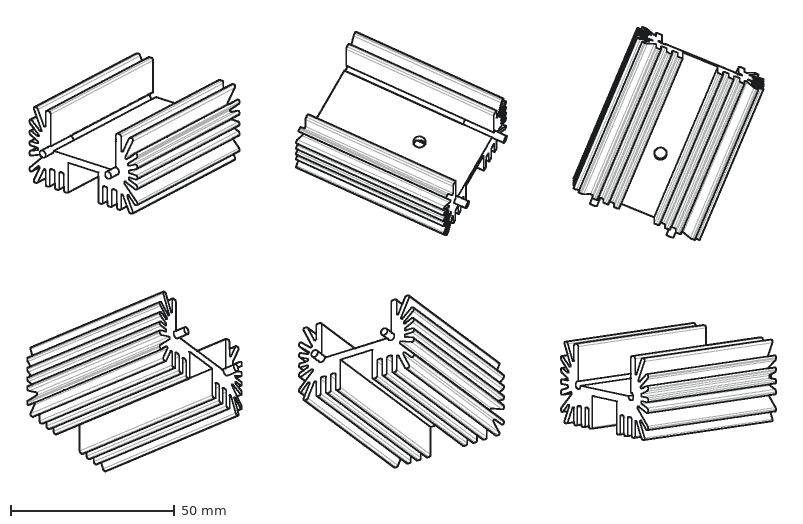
import cadquery as cq
import math

sink_width = 41.9
sink_height = 25.4
sink_length = 50.8
half_width = sink_width / 2
half_height = sink_height / 2

web_thickness = 2.4
wall_inner_x = 12.7
wall_thickness = 1.95
channel_half_width = 5.8

hole_diameter = 3.8
hole_from_front = 19.05

pin_diameter = 2.35
pin_exposed_length = 3.95
pin_seated_length = 9.85

square_corner_radius = 0.6
middle_corner_radius = 0.5
sharp_corner_radius = 0.55
blunt_corner_radius = 0.75
narrow_root_radius = 0.4
wide_root_radius = 0.45

wall_outer_x = wall_inner_x + wall_thickness
leg_thickness = 1.75
corner_leg_thickness = 1.65
corner_leg_inner_x = wall_outer_x - corner_leg_thickness
middle_leg_inner_x = 9.35
middle_leg_outer_x = middle_leg_inner_x + leg_thickness
inner_leg_outer_x = channel_half_width + leg_thickness
leg_root_z = -6.4

middle_fin_half_thickness = 0.7
middle_root_x = 18.0
middle_root_z = middle_fin_half_thickness + wide_root_radius
steep_fin_sharp_x = 18.8
steep_fin_blunt_x = 18.4
wall_root_x = wall_outer_x + narrow_root_radius
wall_root_z = 7.55

upper_fin_sharp_z = 7.5
upper_fin_blunt_z = 7.2
rising_fin_sharp_z = 3.8
rising_fin_blunt_z = 3.5
falling_fin_blunt_z = -3.2
falling_fin_sharp_z = -3.55
lower_fin_blunt_z = -8.6
lower_fin_sharp_z = -8.85

steep_to_upper_root = (16.65, 5.55)
upper_to_rising_root = (17.7, 3.55)
falling_to_lower_root = (16.25, -3.0)
lower_to_steep_root = (17.4, -7.2)


def corner(x, z):
    return [(-x, z, 0)]


def root(x, z, radius):
    return [(-x, z, -radius)]


def side_tip(z, radius):
    return [(radius - half_width, z, radius)]


def top_tip(x, radius):
    return [(-x, half_height - radius, radius)]


def bottom_tip(x, radius):
    return [(-x, radius - half_height, radius)]


def leg_tip(outer_x, inner_x):
    radius = square_corner_radius
    return bottom_tip(outer_x - radius, radius) + bottom_tip(inner_x + radius, radius)


def leg_root(outer_x, inner_x):
    radius = square_corner_radius
    centre_z = leg_root_z - radius
    return root(outer_x - radius, centre_z, radius) + root(inner_x + radius, centre_z, radius)


def wall_tip():
    radius = square_corner_radius
    return top_tip(wall_inner_x + radius, radius) + top_tip(wall_outer_x - radius, radius)


def middle_fin_tip():
    radius = middle_corner_radius
    centre_z = middle_fin_half_thickness - radius
    return side_tip(centre_z, radius) + side_tip(-centre_z, radius)


def sharp_over_blunt_tip(sharp_z, blunt_z):
    return side_tip(sharp_z, sharp_corner_radius) + side_tip(blunt_z, blunt_corner_radius)


def blunt_over_sharp_tip(blunt_z, sharp_z):
    return side_tip(blunt_z, blunt_corner_radius) + side_tip(sharp_z, sharp_corner_radius)


half_outline_rounds = [
    *corner(wall_inner_x, 0),
    *wall_tip(),
    *root(wall_root_x, wall_root_z, narrow_root_radius),
    *top_tip(steep_fin_blunt_x, blunt_corner_radius),
    *top_tip(steep_fin_sharp_x, sharp_corner_radius),
    *root(*steep_to_upper_root, narrow_root_radius),
    *sharp_over_blunt_tip(upper_fin_sharp_z, upper_fin_blunt_z),
    *root(*upper_to_rising_root, narrow_root_radius),
    *sharp_over_blunt_tip(rising_fin_sharp_z, rising_fin_blunt_z),
    *root(middle_root_x, middle_root_z, wide_root_radius),
    *middle_fin_tip(),
    *root(middle_root_x, -middle_root_z, wide_root_radius),
    *blunt_over_sharp_tip(falling_fin_blunt_z, falling_fin_sharp_z),
    *root(*falling_to_lower_root, wide_root_radius),
    *blunt_over_sharp_tip(lower_fin_blunt_z, lower_fin_sharp_z),
    *root(*lower_to_steep_root, narrow_root_radius),
    *bottom_tip(steep_fin_sharp_x, sharp_corner_radius),
    *bottom_tip(steep_fin_blunt_x, blunt_corner_radius),
    *root(wall_root_x, -wall_root_z, narrow_root_radius),
    *leg_tip(wall_outer_x, corner_leg_inner_x),
    *leg_root(corner_leg_inner_x, middle_leg_outer_x),
    *leg_tip(middle_leg_outer_x, middle_leg_inner_x),
    *leg_root(middle_leg_inner_x, inner_leg_outer_x),
    *leg_tip(inner_leg_outer_x, channel_half_width),
    *corner(channel_half_width, -web_thickness),
]


def tangent_heading(start, end):
    """Heading of the straight line that leaves one round and meets the next tangentially."""
    dx = end[0] - start[0]
    dz = end[1] - start[1]
    return math.atan2(dz, dx) - math.asin((end[2] - start[2]) / math.hypot(dx, dz))


def point_on_round(outline_round, heading):
    """Point of a round where the outline runs along the given heading."""
    x, z, radius = outline_round
    return (x + radius * math.sin(heading), z - radius * math.cos(heading))


def make_half_profile():
    """The -X half of the cross-section, extruded along Y and centred on Y = 0."""
    rounds = half_outline_rounds
    headings = [tangent_heading(start, end) for start, end in zip(rounds, rounds[1:])]
    outline = cq.Workplane("XZ").moveTo(0, 0).lineTo(-wall_inner_x, 0)
    for this_round, heading_in, heading_out in zip(rounds[1:-1], headings, headings[1:]):
        turn = (heading_out - heading_in) % math.tau
        if this_round[2] < 0:
            turn -= math.tau
        outline = outline.lineTo(*point_on_round(this_round, heading_in))
        outline = outline.threePointArc(
            point_on_round(this_round, heading_in + turn / 2),
            point_on_round(this_round, heading_out),
        )
    outline = outline.lineTo(-channel_half_width, -web_thickness).lineTo(0, -web_thickness).close()
    return outline.extrude(sink_length / 2, both=True)


def make_rod(x, front_y, length):
    """Round rod of the pin diameter, running in +Y from front_y at the wall corner height."""
    rod = cq.Workplane("XZ", origin=(x, front_y, 0)).circle(pin_diameter / 2)
    return rod.extrude(-length)


front_y = -sink_length / 2
pin_places = [-wall_inner_x, wall_inner_x]


def make_heat_sink():
    half = make_half_profile()
    sink = half.union(half.mirror("YZ")).clean()
    hole = (
        cq.Workplane("XY", origin=(0, front_y + hole_from_front, -web_thickness))
        .circle(hole_diameter / 2)
        .extrude(web_thickness)
    )
    sink = sink.cut(hole)
    for x in pin_places:
        sink = sink.cut(make_rod(x, front_y, sink_length))
    return sink


def make_pin(x):
    return make_rod(x, front_y - pin_exposed_length, pin_exposed_length + pin_seated_length)


heat_sink = make_heat_sink()
pins = [make_pin(x) for x in pin_places]

result = cq.Compound.makeCompound([heat_sink.val(), *[pin.val() for pin in pins]])